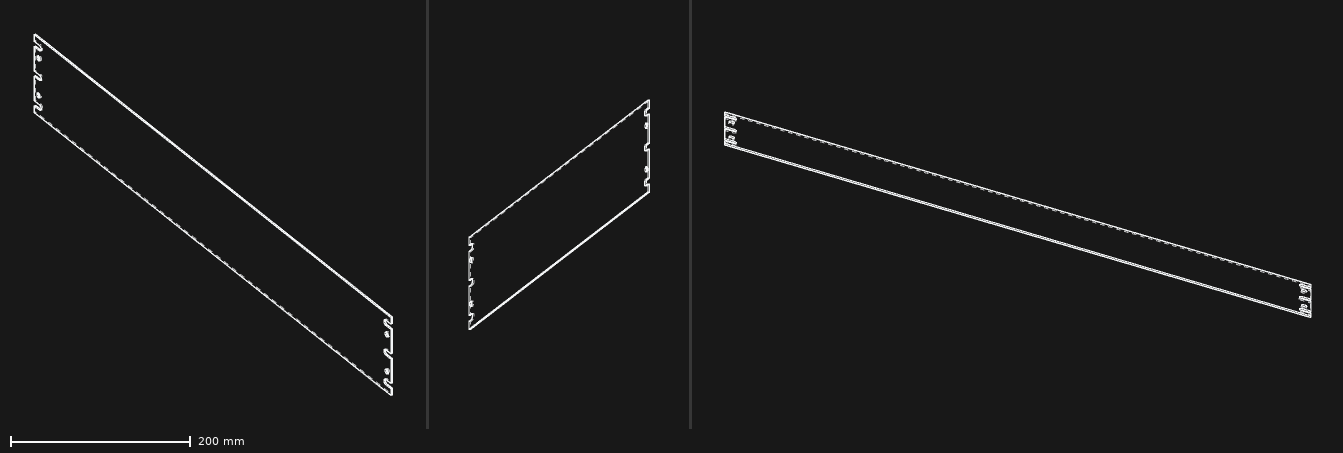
import cadquery as cq

LENGTH = 683.0
HEIGHT = 105.0
THICKNESS = 2.0

SLOT_WIDTH = 7.0
SLOT_DEPTH = 13.4
SLOT_SPACING = 40.0

HOLE_DIAMETER = 6.0
HOLE_EDGE_DISTANCE = 8.0
HOLE_OFFSET = 25.0

HALF_LENGTH = LENGTH / 2
CUT_THICKNESS = 2 * THICKNESS


def make_plate():
    """Plain rectangular panel."""
    return cq.Workplane("XY").box(LENGTH, THICKNESS, HEIGHT)


def mounting_slot(side, z):
    """Slot cutter centred on a short edge, so only its inner half cuts the plate."""
    return (
        cq.Workplane("XZ")
        .center(side * HALF_LENGTH, z)
        .slot2D(2 * SLOT_DEPTH, SLOT_WIDTH)
        .extrude(CUT_THICKNESS / 2, both=True)
    )


def edge_hole(side, z):
    """Round hole cutter through the plate thickness."""
    return (
        cq.Workplane("XZ")
        .center(side * (HALF_LENGTH - HOLE_EDGE_DISTANCE), z)
        .circle(HOLE_DIAMETER / 2)
        .extrude(CUT_THICKNESS / 2, both=True)
    )


result = make_plate()
for side in (-1, 1):
    for slot_z in (-SLOT_SPACING, 0, SLOT_SPACING):
        result = result.cut(mounting_slot(side, slot_z))
    for hole_z in (-HOLE_OFFSET, HOLE_OFFSET):
        result = result.cut(edge_hole(side, hole_z))